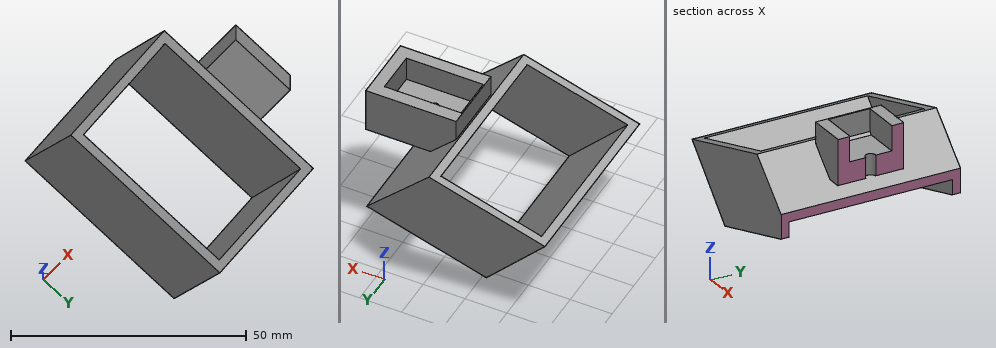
import cadquery as cq

frame_width = 44.0
frame_left = (0.0, 14.6)
frame_bottom = (14.0, 0.0)
frame_right = (42.6, 8.7)
frame_top = (27.7, 23.1)
end_wall = 2.0
side_wall_x = 1.85

part_length = 50.0
part_height = 27.55
tray_left = 28.4
tray_width = 16.1
tray_depth = 11.05
rim_wall = 2.95
pocket_left = 28.7
pocket_depth = 6.0
drain_diameter = 2.4

tray_length = part_length - tray_left
tray_bottom = part_height - tray_depth
pocket_right = part_length - rim_wall
pocket_length = pocket_right - pocket_left
pocket_width = tray_width - 2 * rim_wall
pocket_floor = part_height - pocket_depth


def point_along(start, end, x):
    """Point at the given X on the line through start and end."""
    slope = (end[1] - start[1]) / (end[0] - start[0])
    return (x, start[1] + slope * (x - start[0]))


def prism(points, width):
    """XZ outline extruded symmetrically about Y = 0."""
    return cq.Workplane("XZ").polyline(points).close().extrude(width / 2, both=True)


def box(x, z, length, width, height):
    """Box centred on Y = 0 with its lower left edge at (x, z)."""
    return (
        cq.Workplane("XY")
        .box(length, width, height, centered=(False, True, False))
        .translate((x, 0, z))
    )


frame_solid = prism([frame_left, frame_bottom, frame_right, frame_top], frame_width)

opening = prism(
    [
        point_along(frame_left, frame_top, frame_left[0] + side_wall_x),
        point_along(frame_bottom, frame_right, frame_bottom[0] + side_wall_x),
        point_along(frame_bottom, frame_right, frame_right[0] - side_wall_x),
        point_along(frame_left, frame_top, frame_top[0] - side_wall_x),
    ],
    frame_width - 2 * end_wall,
)

tray = box(tray_left, tray_bottom, tray_length, tray_width, tray_depth)
pocket = box(pocket_left, pocket_floor, pocket_length, pocket_width, pocket_depth)
drain = (
    cq.Workplane("XY", origin=(pocket_left + pocket_length / 2, 0, tray_bottom))
    .circle(drain_diameter / 2)
    .extrude(tray_depth)
)
tray = tray.cut(pocket).cut(drain).cut(frame_solid)

result = frame_solid.cut(opening).union(tray)